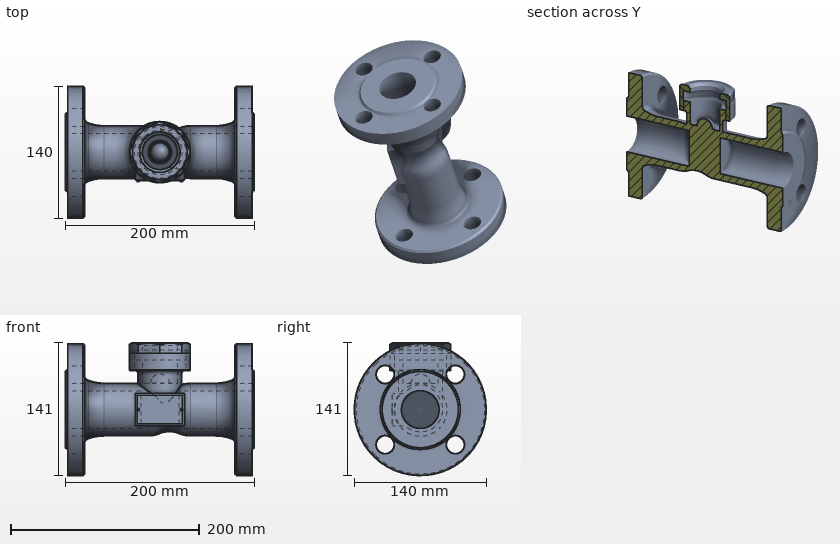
import cadquery as cq

overall_length = 200
pipe_radius = 28
bore_radius = 20
bore_depth = 80
flange_radius = 70
flange_thickness = 18.2
flange_chamfer = 2
raised_face_radius = 42.5
raised_face_height = 2.2
raised_face_chamfer = 2

hub_length = 16.5
hub_end_radius = 31.0
hub_fillet_length = 3.5
hub_foot_radius = 34.5
hub_fillet_radius = 5.0

bolt_hole_diameter = 19.0
bolt_circle_radius = 52.5
bolt_count = 4
first_bolt_angle = 45

waist_x = 10
waist_half_length = 22.5
waist_radius = 23.5

neck_radius = 47.0 / 2
neck_flare_top_radius = 51.0 / 2
neck_flare = neck_flare_top_radius - neck_radius
neck_rim_radius = 54.8 / 2
neck_flare_bottom_z = 39.2
neck_top_z = 53.0
neck_bore_radius = 37.0 / 2
neck_floor_z = 28

seat_outer_radius = 25.0 / 2
seat_crest_radius = 23.0 / 2
seat_height = 0.5
seat_rounding = 1.2
dome_radius = 10

pad_length = 52.5
pad_height = 34.5
pad_back_y = -16
pad_front_y = -29.5
pad_corner_radius = 1.5
pad_edge_radius = 1.38
plate_margin = 2.2
plate_thickness = 0.5
plate_pin_x = 23.0
plate_pin_radius = 1.2

nut_bottom_z = neck_flare_bottom_z + neck_flare
nut_skirt_top_z = 59.8
nut_top_z = 71.0
nut_radius = 65.0 / 2
nut_sides = 8
nut_bottom_chamfer = 1.0
nut_top_face_radius = 29.0
nut_top_bevel_drop = 2.2
nut_lip_thickness = 7.5
nut_hole_radius = 37.0 / 2
nut_hole_chamfer = 3.0

end_x = overall_length / 2
flange_outer_x = end_x - raised_face_height
flange_inner_x = flange_outer_x - flange_thickness
hub_outer_x = flange_inner_x - hub_fillet_length
hub_inner_x = hub_outer_x - hub_length


def cylinder_z(radius, bottom_z, top_z):
    return cq.Workplane("XY").workplane(offset=bottom_z).circle(radius).extrude(top_z - bottom_z)


def tangent_arc_radius(length, rise):
    """Radius of an arc that starts along its length and rises by the given amount."""
    return (length**2 + rise**2) / (2 * rise)


def make_waisted_pipe():
    """Pipe between the hubs; the waist is an S-curve of equal arcs on each side."""
    half_depth = (pipe_radius - waist_radius) / 2
    quarter_length = waist_half_length / 2
    mid_radius = pipe_radius - half_depth
    arc_radius = tangent_arc_radius(quarter_length, half_depth)
    start_x = waist_x - waist_half_length
    end_of_waist_x = waist_x + waist_half_length
    profile = (
        cq.Workplane("XY")
        .moveTo(-hub_inner_x, 0)
        .lineTo(-hub_inner_x, pipe_radius)
        .lineTo(start_x, pipe_radius)
        .radiusArc((waist_x - quarter_length, mid_radius), arc_radius)
        .radiusArc((waist_x, waist_radius), -arc_radius)
        .radiusArc((waist_x + quarter_length, mid_radius), -arc_radius)
        .radiusArc((end_of_waist_x, pipe_radius), arc_radius)
        .lineTo(hub_inner_x, pipe_radius)
        .lineTo(hub_inner_x, 0)
        .close()
    )
    return profile.revolve(360, (0, 0, 0), (1, 0, 0))


def make_flange():
    """Hub, flange and raised face at the +X end, with the bolt holes."""
    hub_arc_radius = tangent_arc_radius(hub_length, hub_end_radius - pipe_radius)
    flange = (
        cq.Workplane("XY")
        .moveTo(hub_inner_x, 0)
        .lineTo(hub_inner_x, pipe_radius)
        .radiusArc((hub_outer_x, hub_end_radius), -hub_arc_radius)
        .radiusArc((flange_inner_x, hub_foot_radius), -hub_fillet_radius)
        .lineTo(flange_inner_x, flange_radius - flange_chamfer)
        .lineTo(flange_inner_x + flange_chamfer, flange_radius)
        .lineTo(flange_outer_x, flange_radius)
        .lineTo(flange_outer_x, raised_face_radius)
        .lineTo(end_x, raised_face_radius - raised_face_chamfer)
        .lineTo(end_x, 0)
        .close()
        .revolve(360, (0, 0, 0), (1, 0, 0))
    )
    bolt_holes = (
        cq.Workplane("YZ")
        .workplane(offset=flange_inner_x)
        .polarArray(bolt_circle_radius, first_bolt_angle, 360, bolt_count)
        .circle(bolt_hole_diameter / 2)
        .extrude(end_x - flange_inner_x)
    )
    return flange.cut(bolt_holes)


def make_neck():
    """Round neck that flares to the rim held in the nut."""
    return (
        cq.Workplane("XZ")
        .lineTo(neck_radius, 0)
        .lineTo(neck_radius, neck_flare_bottom_z)
        .radiusArc((neck_flare_top_radius, nut_bottom_z), neck_flare)
        .lineTo(neck_rim_radius, nut_bottom_z)
        .lineTo(neck_rim_radius, neck_top_z)
        .lineTo(0, neck_top_z)
        .close()
        .revolve(360, (0, 0, 0), (0, 1, 0))
    )


def make_dome():
    """Dome inside a low seat with a rounded outside and a sloped inside."""
    return (
        cq.Workplane("XZ")
        .moveTo(0, neck_floor_z - seat_height)
        .lineTo(seat_outer_radius, neck_floor_z - seat_height)
        .lineTo(seat_outer_radius, neck_floor_z)
        .radiusArc((seat_crest_radius, neck_floor_z + seat_height), -seat_rounding)
        .lineTo(dome_radius, neck_floor_z)
        .radiusArc((0, neck_floor_z + dome_radius), -dome_radius)
        .close()
        .revolve(360, (0, 0, 0), (0, 1, 0))
    )


def block_along_y(length, height, back_y, front_y):
    return cq.Workplane("XZ").workplane(offset=-back_y).rect(length, height).extrude(back_y - front_y)


def make_nameplate_pad():
    """Rounded pad with a thin plate and two round-headed pins."""
    pad = block_along_y(pad_length, pad_height, pad_back_y, pad_front_y)
    pad = pad.edges("|Y").fillet(pad_corner_radius)
    pad = pad.faces("<Y").edges().fillet(pad_edge_radius)
    plate_length = pad_length - 2 * plate_margin
    plate_height = pad_height - 2 * plate_margin
    plate_front_y = pad_front_y - plate_thickness
    pad = pad.union(block_along_y(plate_length, plate_height, pad_front_y, plate_front_y))
    for side in (-1, 1):
        pin = cq.Workplane("XY").sphere(plate_pin_radius)
        pad = pad.union(pin.translate((side * plate_pin_x, plate_front_y, 0)))
    return pad


def make_housing():
    flange = make_flange()
    housing = make_waisted_pipe().union(flange).union(flange.mirror("YZ"))
    housing = housing.union(make_neck()).union(make_nameplate_pad())
    for bore_start_x in (-end_x, end_x - bore_depth):
        bore = cq.Workplane("YZ").workplane(offset=bore_start_x).circle(bore_radius).extrude(bore_depth)
        housing = housing.cut(bore)
    housing = housing.cut(cylinder_z(neck_bore_radius, neck_floor_z, neck_top_z))
    return housing.union(make_dome())


def make_nut():
    octagon = (
        cq.Workplane("XY")
        .workplane(offset=nut_skirt_top_z)
        .polygon(nut_sides, 2 * nut_radius)
        .extrude(nut_top_z - nut_skirt_top_z)
    )
    bevel_envelope = (
        cylinder_z(nut_radius, nut_skirt_top_z, nut_top_z)
        .faces(">Z")
        .chamfer(nut_top_bevel_drop, nut_radius - nut_top_face_radius)
    )
    skirt = cylinder_z(nut_radius, nut_bottom_z, nut_skirt_top_z).faces("<Z").chamfer(nut_bottom_chamfer)
    lip_bottom_z = nut_top_z - nut_lip_thickness
    nut = skirt.union(octagon.intersect(bevel_envelope))
    nut = nut.cut(cylinder_z(neck_rim_radius, nut_bottom_z, lip_bottom_z))
    nut = nut.cut(cylinder_z(nut_hole_radius, lip_bottom_z, nut_top_z))
    hole_rim = cq.selectors.RadiusNthSelector(0)
    return nut.faces(">Z").edges("%CIRCLE").edges(hole_rim).chamfer(nut_hole_chamfer)


housing = make_housing()
nut = make_nut()

result = cq.Compound.makeCompound([housing.val(), nut.val()])